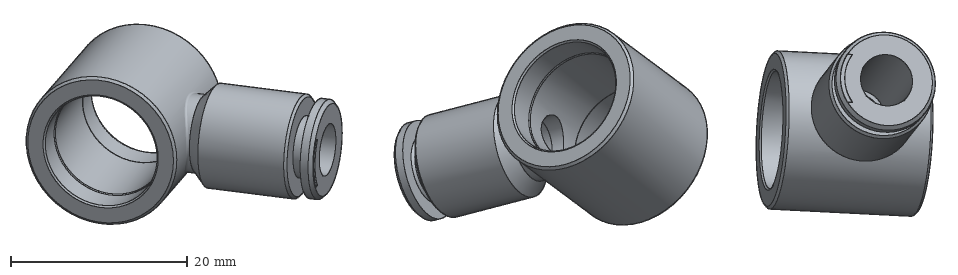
import cadquery as cq
import math

ring_diameter = 18.0
ring_width = 17.0
ring_radius = ring_diameter / 2
edge_chamfer = 0.3
bore_radius = 6.58
bore_step = 0.1
land_half_width = 5.1
land_lead_in = 0.17

total_length = 33.4
branch_end = total_length - ring_radius
mark_height = 0.1
collar_end = branch_end - mark_height
collar_start = 22.9
neck_end = 9.3
body_end = 21.35
neck_radius = 4.5
body_radius = 6.0
stem_radius = 3.57
stem_flare = 0.3
collar_radius = 5.75
collar_chamfer = 0.45
neck_fillet = 0.27

port_radius = 2.5
socket_radius = 3.0
socket_start = 8.1

mark_outer_radius = 5.35
mark_inner_radius = 4.85
mark_half_height = 2.8


def cylinder_y(radius, length):
    """Cylinder along Y, centred on the origin."""
    return cq.Workplane("XZ").circle(radius).extrude(length / 2, both=True)


def cylinder_x(radius, start, end):
    """Cylinder along X between two distances from the ring axis."""
    return cq.Workplane("YZ").workplane(offset=start).circle(radius).extrude(end - start)


def make_branch():
    """Neck, conical shoulder, body, release stem and collar, revolved about X."""
    shoulder_end = neck_end + body_radius - neck_radius
    profile = [
        (0, 0),
        (0, neck_radius),
        (neck_end, neck_radius),
        (shoulder_end, body_radius),
        (body_end - edge_chamfer, body_radius),
        (body_end, body_radius - edge_chamfer),
        (body_end, stem_radius),
        (collar_start - stem_flare, stem_radius),
        (collar_start, stem_radius + stem_flare),
        (collar_start, collar_radius),
        (collar_end - collar_chamfer, collar_radius),
        (collar_end, collar_radius - collar_chamfer),
        (collar_end, 0),
    ]
    return cq.Workplane("XY").polyline(profile).close().revolve(360, (0, 0, 0), (1, 0, 0))


def make_ring_bore():
    """Bore with a slightly narrower central land, tapered at its ends, and chamfered mouths."""
    mouth_radius = bore_radius + bore_step
    chamfer_radius = bore_radius + edge_chamfer
    chamfer_depth = chamfer_radius - mouth_radius
    half_width = ring_width / 2
    profile = [
        (0, -half_width),
        (chamfer_radius, -half_width),
        (mouth_radius, -half_width + chamfer_depth),
        (mouth_radius, -land_half_width),
        (bore_radius, -land_half_width + land_lead_in),
        (bore_radius, land_half_width - land_lead_in),
        (mouth_radius, land_half_width),
        (mouth_radius, half_width - chamfer_depth),
        (chamfer_radius, half_width),
        (0, half_width),
    ]
    return cq.Workplane("XY").polyline(profile).close().revolve(360, (0, 0, 0), (0, 1, 0))


def make_mark():
    """Raised arc standing on the collar end face."""
    def arc_point(radius, height):
        return (-math.sqrt(radius**2 - height**2), height)

    return (
        cq.Workplane("YZ")
        .workplane(offset=collar_end)
        .moveTo(*arc_point(mark_outer_radius, -mark_half_height))
        .threePointArc((-mark_outer_radius, 0), arc_point(mark_outer_radius, mark_half_height))
        .lineTo(*arc_point(mark_inner_radius, mark_half_height))
        .threePointArc((-mark_inner_radius, 0), arc_point(mark_inner_radius, -mark_half_height))
        .close()
        .extrude(mark_height)
    )


ring = cylinder_y(ring_radius, ring_width).faces("<Y or >Y").chamfer(edge_chamfer)
body = ring.union(make_branch())

junction_box = cq.selectors.BoxSelector(
    (0, -neck_radius - 0.35, -neck_radius - 0.35),
    (neck_end - 0.05, neck_radius + 0.35, neck_radius + 0.35),
)
body = body.edges(junction_box).edges("not %LINE").fillet(neck_fillet)

body = body.cut(make_ring_bore())
body = body.cut(cylinder_x(port_radius, 0, socket_start))
body = body.cut(cylinder_x(socket_radius, socket_start, collar_end))
result = body.union(make_mark())